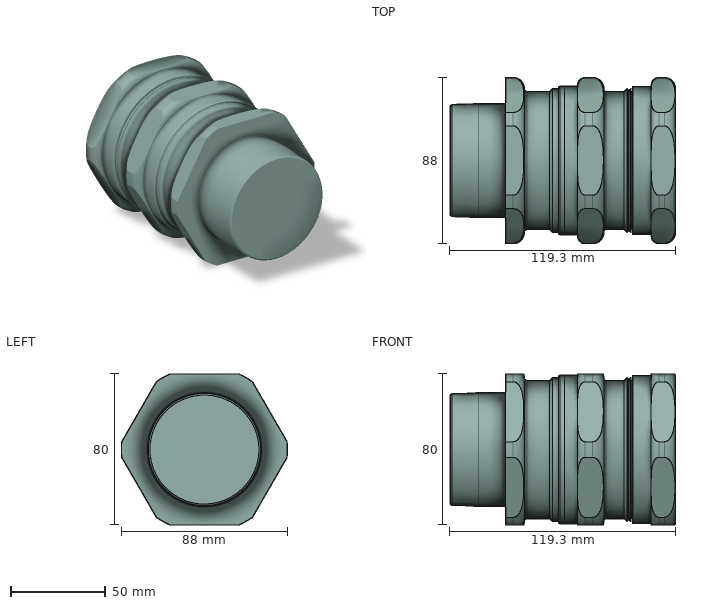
import cadquery as cq
import math


ACROSS_FLATS = 80.0
CORNER_R = 44.0
FRONT_ROUND = 4.0
BACK_ROUND = 6.0
ENTRY_LAND = 4.0
MIDDLE_LAND = 4.0
REAR_LAND = 2.91

THREAD_R = 60.33 / 2
THREAD_TAPER = 1 / 32
TAPER_LENGTH = 14.9
THREAD_END_CHAMFER = 0.87
THREAD_ROOT_FILLET = 0.5

BARREL_R = 73.3 / 2
COLLAR_R = 76.2 / 2
MIDDLE_SLEEVE_R = 78.75 / 2
REAR_SLEEVE_R = 78.55 / 2
NECK_R = 73.0 / 2
ENTRY_BARREL_FILLET = 1.3
MIDDLE_BARREL_FILLET = 1.0
MIDDLE_CHAMFER_LENGTH = 0.7
MIDDLE_CHAMFER_DEPTH = 0.35
COLLAR_RECESS_R = 38.95
COLLAR_RECESS_DEPTH = 3.0
REAR_CHAMFER_LENGTH = 0.4
REAR_CHAMFER_DEPTH = 0.3

ENTRY_HEAD_X = 29.3
ENTRY_CONE_X = 52.65
MIDDLE_START_X = 57.4
MIDDLE_HEAD_X = 67.4
MIDDLE_CONE_X = 92.1
REAR_START_X = 96.4
REAR_HEAD_X = 106.4

LIP_WIDTH = 0.1
LIP_CHAMFER = 0.6
RING_X = 94.75
RING_WIDTH = 1.0
RING_BEVEL = 0.75

COLLAR_END_X = MIDDLE_START_X + COLLAR_RECESS_DEPTH
CONE_LENGTH = COLLAR_R - BARREL_R
ENTRY_HEAD_END = ENTRY_HEAD_X + ENTRY_LAND + BACK_ROUND
MIDDLE_HEAD_END = MIDDLE_HEAD_X + FRONT_ROUND + MIDDLE_LAND + BACK_ROUND
REAR_END_X = REAR_HEAD_X + FRONT_ROUND + REAR_LAND + BACK_ROUND


def arc_point(center_x, center_r, radius, angle_deg):
    """Point (x, r) on an arc at the given angle from +X."""
    angle = math.radians(angle_deg)
    return (center_x + radius * math.cos(angle), center_r + radius * math.sin(angle))


def front_round(outline, head_x):
    """Rise to the head face and round the front corner up to the trimmed radius."""
    center_x = head_x + FRONT_ROUND
    center_r = CORNER_R - FRONT_ROUND
    return outline.lineTo(head_x, center_r).threePointArc(
        arc_point(center_x, center_r, FRONT_ROUND, 135), (center_x, CORNER_R)
    )


def back_round(outline, head_end):
    """Follow the trimmed radius, then round down to the back face of the head."""
    center_x = head_end - BACK_ROUND
    center_r = CORNER_R - BACK_ROUND
    return outline.lineTo(center_x, CORNER_R).threePointArc(
        arc_point(center_x, center_r, BACK_ROUND, 45), (head_end, center_r)
    )


def root_fillet(outline, head_end, radius):
    """Drop down the back face of the head and fillet into the barrel."""
    center_r = BARREL_R + radius
    return outline.lineTo(head_end, center_r).threePointArc(
        arc_point(head_end + radius, center_r, radius, 225), (head_end + radius, BARREL_R)
    )


def turned_solid(outline):
    """Close an (x, r) outline and turn it about the X axis."""
    return outline.close().revolve(360, (0, 0, 0), (1, 0, 0))


def hexagon_trim(body):
    """Cut the six flats; two of them face +Z and -Z."""
    corner_diameter = ACROSS_FLATS / math.cos(math.radians(30))
    prism = cq.Workplane("YZ").polygon(6, corner_diameter).extrude(REAR_END_X)
    return body.intersect(prism)


def make_entry_body():
    """Tapered thread, hexagon head, barrel and collar."""
    tip_r = THREAD_R - THREAD_TAPER * (TAPER_LENGTH - THREAD_END_CHAMFER)
    fillet_x = ENTRY_HEAD_X - THREAD_ROOT_FILLET
    fillet_r = THREAD_R + THREAD_ROOT_FILLET
    outline = (
        cq.Workplane("XY")
        .lineTo(0, tip_r - THREAD_END_CHAMFER)
        .lineTo(THREAD_END_CHAMFER, tip_r)
        .lineTo(TAPER_LENGTH, THREAD_R)
        .lineTo(fillet_x, THREAD_R)
        .threePointArc(
            arc_point(fillet_x, fillet_r, THREAD_ROOT_FILLET, -45), (ENTRY_HEAD_X, fillet_r)
        )
        .lineTo(ENTRY_HEAD_X, CORNER_R)
    )
    outline = back_round(outline, ENTRY_HEAD_END)
    outline = root_fillet(outline, ENTRY_HEAD_END, ENTRY_BARREL_FILLET)
    outline = (
        outline.lineTo(ENTRY_CONE_X, BARREL_R)
        .lineTo(ENTRY_CONE_X + CONE_LENGTH, COLLAR_R)
        .lineTo(COLLAR_END_X, COLLAR_R)
        .lineTo(COLLAR_END_X, 0)
    )
    return hexagon_trim(turned_solid(outline))


def make_middle_body():
    """Recessed sleeve, hexagon head, barrel with a flared lip, and the neck that carries the ring."""
    outline = (
        cq.Workplane("XY")
        .moveTo(COLLAR_END_X, 0)
        .lineTo(COLLAR_END_X, COLLAR_RECESS_R)
        .lineTo(MIDDLE_START_X, COLLAR_RECESS_R)
        .lineTo(MIDDLE_START_X, MIDDLE_SLEEVE_R - MIDDLE_CHAMFER_DEPTH)
        .lineTo(MIDDLE_START_X + MIDDLE_CHAMFER_LENGTH, MIDDLE_SLEEVE_R)
        .lineTo(MIDDLE_HEAD_X, MIDDLE_SLEEVE_R)
    )
    outline = front_round(outline, MIDDLE_HEAD_X)
    outline = back_round(outline, MIDDLE_HEAD_END)
    outline = root_fillet(outline, MIDDLE_HEAD_END, MIDDLE_BARREL_FILLET)
    lip_x = MIDDLE_CONE_X + CONE_LENGTH
    lip_end = lip_x + LIP_WIDTH + LIP_CHAMFER
    outline = (
        outline.lineTo(MIDDLE_CONE_X, BARREL_R)
        .lineTo(lip_x, COLLAR_R)
        .lineTo(lip_x + LIP_WIDTH, COLLAR_R)
        .lineTo(lip_end, COLLAR_R - LIP_CHAMFER)
        .lineTo(lip_end, NECK_R)
        .lineTo(REAR_START_X, NECK_R)
        .lineTo(REAR_START_X, 0)
    )
    return hexagon_trim(turned_solid(outline))


def make_ring():
    """Thin ring on the neck, bevelled on its front side."""
    ring_end = RING_X + RING_WIDTH
    outline = (
        cq.Workplane("XY")
        .moveTo(RING_X, NECK_R)
        .lineTo(RING_X, COLLAR_R - RING_BEVEL)
        .lineTo(RING_X + RING_BEVEL, COLLAR_R)
        .lineTo(ring_end, COLLAR_R)
        .lineTo(ring_end, NECK_R)
    )
    return turned_solid(outline)


def make_rear_nut():
    """Sleeve and hexagon head at the cable end."""
    outline = (
        cq.Workplane("XY")
        .moveTo(REAR_START_X, 0)
        .lineTo(REAR_START_X, REAR_SLEEVE_R - REAR_CHAMFER_DEPTH)
        .lineTo(REAR_START_X + REAR_CHAMFER_LENGTH, REAR_SLEEVE_R)
        .lineTo(REAR_HEAD_X, REAR_SLEEVE_R)
    )
    outline = front_round(outline, REAR_HEAD_X)
    outline = back_round(outline, REAR_END_X)
    outline = outline.lineTo(REAR_END_X, 0)
    return hexagon_trim(turned_solid(outline))


entry_body = make_entry_body()
middle_body = make_middle_body()
ring = make_ring()
rear_nut = make_rear_nut()

result = cq.Compound.makeCompound(
    [entry_body.val(), middle_body.val(), ring.val(), rear_nut.val()]
)